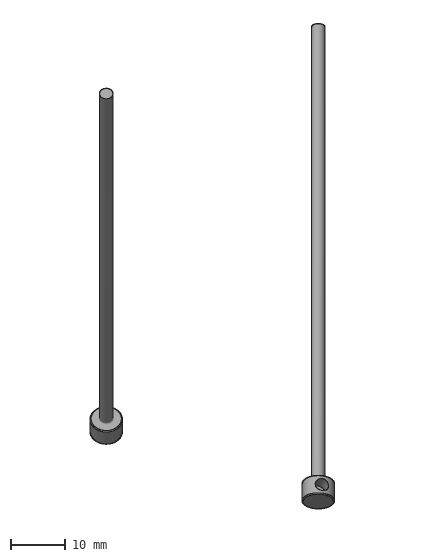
import cadquery as cq

total_length = 100.0
head_diameter = 6.0
head_height = 4.0
head_edge_chamfer = 0.2
shank_diameter = 2.5
root_fillet = 0.3
side_hole_diameter = 2.5

head_radius = head_diameter / 2

head = (
    cq.Workplane("XY")
    .circle(head_radius)
    .extrude(head_height)
    .edges("%CIRCLE")
    .chamfer(head_edge_chamfer)
)

shank = cq.Workplane("XY").circle(shank_diameter / 2).extrude(total_length)
pin = head.union(shank)

head_rim_point = ((head_radius + shank_diameter / 2) / 2, 0, head_height)
head_top = pin.faces(cq.selectors.NearestToPointSelector(head_rim_point))
pin = head_top.edges(cq.selectors.RadiusNthSelector(0)).fillet(root_fillet)

side_hole = (
    cq.Workplane("XZ", origin=(0, head_radius, head_height / 2))
    .circle(side_hole_diameter / 2)
    .extrude(head_radius)
)
result = pin.cut(side_hole)